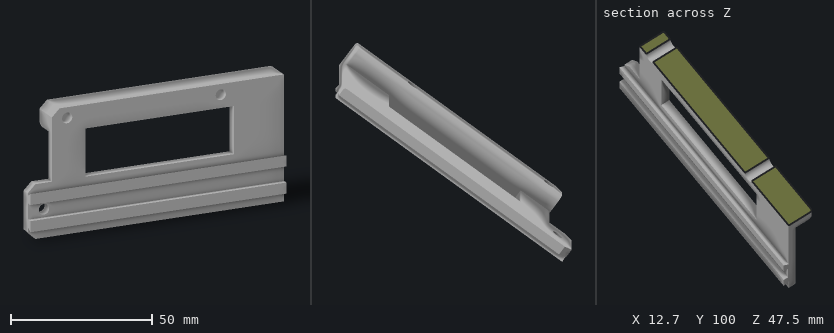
import cadquery as cq

LENGTH = 100.0
HEIGHT = 47.5
WIDTH = 12.67

PLATE_FRONT_X = 7.0
PLATE_BACK_X = 10.5
FLANGE_HEIGHT = 9.0
FLANGE_ROUND = 2.25
CORNER_CHAMFER = 3.0
END_ROUND = 1.0

EAR_LENGTH = 9.4
EAR_HEIGHT = 20.5

WINDOW_LENGTH = 58.0
WINDOW_END_GAP = 19.5

HOLE_DIAMETER = 4.0
FLANGE_HOLE_COUNT = 2
FLANGE_HOLE_DROP = 4.0
FLANGE_HOLE_INSET = 6.0
FLANGE_HOLE_SPACING = 60.0
EAR_HOLE_Y = 6.2

RAIL_CENTER_Z = 10.75
RAIL_ROOT_HALF = 5.8
RAIL_FACE_HALF = 7.15
RAIL_GROOVE_HALF = 3.0
RAIL_FLOOR = 0.3

FLANGE_BOTTOM_Z = HEIGHT - FLANGE_HEIGHT


def make_body():
    """Flange and plate as one bent section along Y, trimmed to the side outline."""
    section = (
        cq.Workplane("XZ")
        .moveTo(PLATE_FRONT_X, 0)
        .lineTo(PLATE_BACK_X, 0)
        .lineTo(PLATE_BACK_X, HEIGHT)
        .lineTo(0, HEIGHT)
        .lineTo(0, FLANGE_BOTTOM_Z + FLANGE_ROUND)
        .radiusArc((FLANGE_ROUND, FLANGE_BOTTOM_Z), -FLANGE_ROUND)
        .lineTo(PLATE_FRONT_X, FLANGE_BOTTOM_Z)
        .close()
        .extrude(-LENGTH)
    )
    side_outline = [
        (CORNER_CHAMFER, 0),
        (LENGTH, 0),
        (LENGTH, HEIGHT),
        (EAR_LENGTH + CORNER_CHAMFER, HEIGHT),
        (EAR_LENGTH, HEIGHT - CORNER_CHAMFER),
        (EAR_LENGTH, EAR_HEIGHT),
        (CORNER_CHAMFER, EAR_HEIGHT),
        (0, EAR_HEIGHT - CORNER_CHAMFER),
        (0, CORNER_CHAMFER),
    ]
    side = cq.Workplane("YZ").polyline(side_outline).close().extrude(PLATE_BACK_X)
    return section.intersect(side)


def round_ends(body):
    """Round the -X edges of the +Y end face, and the upright -X edge above the ear."""
    end_edges = cq.selectors.BoxSelector(
        (-END_ROUND, LENGTH - END_ROUND, END_ROUND),
        (PLATE_FRONT_X + END_ROUND, LENGTH + END_ROUND, HEIGHT - END_ROUND),
    )
    step_edge = cq.selectors.BoxSelector(
        (PLATE_FRONT_X - END_ROUND, EAR_LENGTH - END_ROUND, EAR_HEIGHT + END_ROUND),
        (PLATE_FRONT_X + END_ROUND, EAR_LENGTH + END_ROUND, FLANGE_BOTTOM_Z - END_ROUND),
    )
    return body.edges(end_edges).fillet(END_ROUND).edges(step_edge).fillet(END_ROUND)


def make_rail():
    """Two undercut ribs joined by a thin floor, along the whole back of the plate."""
    face = WIDTH - PLATE_BACK_X
    half = [
        (0, RAIL_ROOT_HALF),
        (face, RAIL_FACE_HALF),
        (face, RAIL_GROOVE_HALF),
        (RAIL_FLOOR, RAIL_GROOVE_HALF),
    ]
    outline = half + [(x, -z) for x, z in reversed(half)]
    rail = cq.Workplane("XZ").polyline(outline).close().extrude(-LENGTH)
    return rail.translate((PLATE_BACK_X, 0, RAIL_CENTER_Z))


def make_window():
    """Cutter for the rectangular opening under the flange."""
    start_y = LENGTH - WINDOW_END_GAP - WINDOW_LENGTH
    size_z = FLANGE_BOTTOM_Z - EAR_HEIGHT
    window = cq.Workplane("XY").box(WIDTH, WINDOW_LENGTH, size_z, centered=False)
    return window.translate((0, start_y, EAR_HEIGHT))


def make_hole(y, z):
    """Cutter for a round hole along X through the whole part."""
    return cq.Workplane("YZ").center(y, z).circle(HOLE_DIAMETER / 2).extrude(WIDTH)


result = round_ends(make_body())
result = result.union(make_rail())
result = result.cut(make_window())
for i in range(FLANGE_HOLE_COUNT):
    hole_y = EAR_LENGTH + FLANGE_HOLE_INSET + i * FLANGE_HOLE_SPACING
    result = result.cut(make_hole(hole_y, HEIGHT - FLANGE_HOLE_DROP))
result = result.cut(make_hole(EAR_HOLE_Y, RAIL_CENTER_Z))